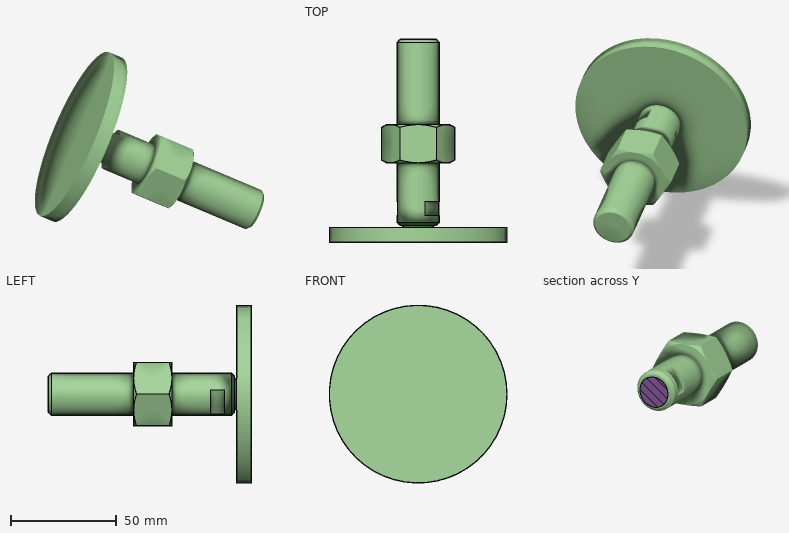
import cadquery as cq
import math

overall_length = 96

foot_diameter = 84.0
foot_thickness = 7.0

neck_top_radius = 7.0
neck_base_radius = 7.6

stem_diameter = 20.0
stem_start = 7.9
stem_chamfer = 1.5

flats_width = 15.0
flats_length = 6.5
flats_start = 12.7
flats_angle = 30

nut_sides = 6
nut_width = 30.0
nut_height = 18.0
nut_start = 37.5
nut_chamfer_angle = 30
nut_face_diameter = nut_width

stem_radius = stem_diameter / 2


def axial_plane(y):
    """Plane across the Y axis at height y; a negative extrusion from it grows towards +Y."""
    return cq.Workplane("XZ", origin=(0, y, 0))


def revolve_profile(points):
    """Revolve (radius, y) points around the Y axis."""
    return cq.Workplane("XY").polyline(points).close().revolve(360, (0, 0), (0, 1))


def make_foot():
    return axial_plane(0).circle(foot_diameter / 2).extrude(-foot_thickness)


def make_wrench_flats():
    """Two blocks that remove the stem outside the distance across the flats."""
    block_depth = stem_diameter
    blocks = cq.Workplane("XY")
    for side in (-1, 1):
        block = cq.Workplane("XY").box(block_depth, flats_length, 2 * stem_diameter)
        offset = side * (flats_width + block_depth) / 2
        blocks = blocks.add(block.translate((offset, flats_start + flats_length / 2, 0)))
    return blocks.combine().rotate((0, 0, 0), (0, 1, 0), -flats_angle)


def make_stem():
    """Chamfered rod with its flared neck and two wrench flats."""
    chamfer_radius = stem_radius - stem_chamfer
    rod = revolve_profile([
        (0, foot_thickness),
        (neck_base_radius, foot_thickness),
        (neck_top_radius, stem_start),
        (chamfer_radius, stem_start),
        (stem_radius, stem_start + stem_chamfer),
        (stem_radius, overall_length - stem_chamfer),
        (chamfer_radius, overall_length),
        (0, overall_length),
    ])
    return rod.cut(make_wrench_flats())


def make_nut():
    """Hexagon nut with conically chamfered corners at both ends."""
    corner_diameter = nut_width / math.cos(math.pi / nut_sides)
    hexagon = axial_plane(nut_start).polygon(nut_sides, corner_diameter).extrude(-nut_height)
    face_radius = nut_face_diameter / 2
    corner_radius = corner_diameter / 2
    chamfer_height = (corner_radius - face_radius) * math.tan(math.radians(nut_chamfer_angle))
    nut_end = nut_start + nut_height
    envelope = revolve_profile([
        (0, nut_start),
        (face_radius, nut_start),
        (corner_radius, nut_start + chamfer_height),
        (corner_radius, nut_end - chamfer_height),
        (face_radius, nut_end),
        (0, nut_end),
    ])
    bore = axial_plane(nut_start).circle(stem_radius).extrude(-nut_height)
    return hexagon.intersect(envelope).cut(bore)


foot = make_foot()
stem = make_stem()
nut = make_nut()

result = cq.Compound.makeCompound([foot.val(), stem.val(), nut.val()])